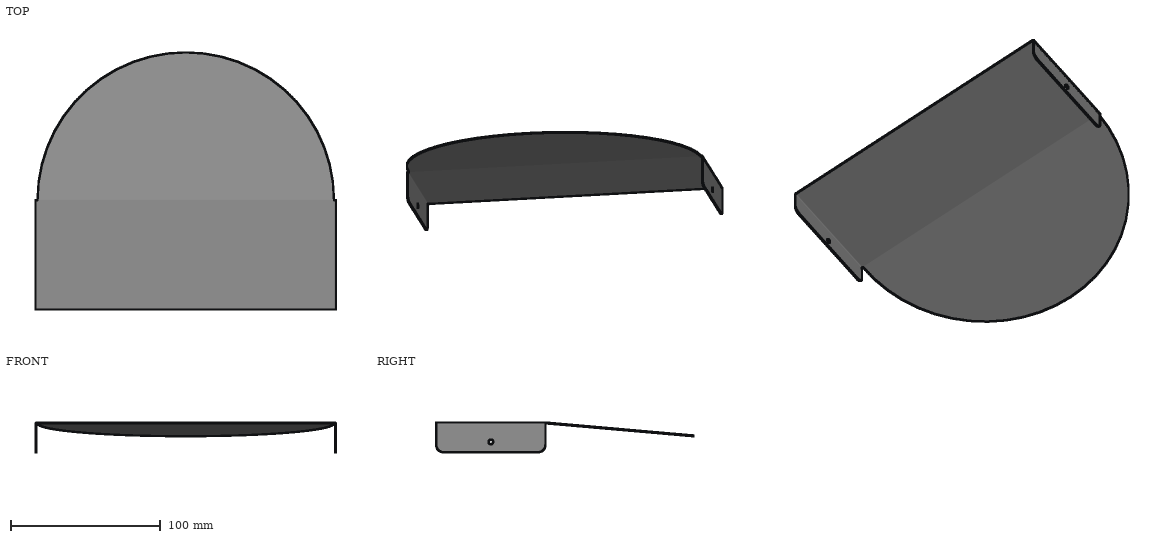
import cadquery as cq
import math

sheet = 0.7
inner_bend_radius = sheet
outer_bend_radius = inner_bend_radius + sheet
neutral_factor = 0.4
neutral_bend_radius = inner_bend_radius + neutral_factor * sheet

plate_width = 198.0
plate_depth = 73.0
height = 20.0
overall_width = plate_width + 2 * outer_bend_radius
flange_corner_radius = 5.0

hole_diameter = 3.0
hole_height = 7.0

flap_radius = plate_width / 2
flap_angle = 5.0
bend_length = neutral_bend_radius * math.radians(flap_angle)
bend_half_width = math.sqrt(flap_radius**2 - bend_length**2)


def make_channel():
    """Upside-down U channel with rounded bends and rounded lower flange corners."""
    outer = (
        cq.Workplane("XY")
        .box(overall_width, plate_depth, height, centered=(True, False, False))
        .edges("|Y and >Z")
        .fillet(outer_bend_radius)
        .edges("|X and <Z")
        .fillet(flange_corner_radius)
    )
    inner = (
        cq.Workplane("XY")
        .box(overall_width - 2 * sheet, plate_depth, height - sheet, centered=(True, False, False))
        .edges("|Y and >Z")
        .fillet(inner_bend_radius)
    )
    return outer.cut(inner)


def make_flange_holes():
    """Cylinder along X that crosses both flanges midway along their length."""
    return (
        cq.Workplane("YZ")
        .center(plate_depth / 2, hole_height)
        .circle(hole_diameter / 2)
        .extrude(overall_width / 2, both=True)
    )


def make_flap():
    """Narrow bend strip along the plate's rear edge, followed by the rest of the half disc."""
    axis_height = height - outer_bend_radius
    axis_start = (0, plate_depth, axis_height)
    axis_end = (-1, plate_depth, axis_height)
    bend_strip = (
        cq.Workplane("XZ", origin=axis_start)
        .moveTo(-bend_half_width, inner_bend_radius)
        .lineTo(bend_half_width, inner_bend_radius)
        .lineTo(bend_half_width, outer_bend_radius)
        .lineTo(-bend_half_width, outer_bend_radius)
        .close()
        .revolve(flap_angle, (0, 0), (-1, 0))
    )
    flat_part = (
        cq.Workplane("XY", origin=(0, plate_depth, height - sheet))
        .moveTo(-bend_half_width, 0)
        .threePointArc((0, flap_radius - bend_length), (bend_half_width, 0))
        .close()
        .extrude(sheet)
        .rotate(axis_start, axis_end, flap_angle)
    )
    return bend_strip.union(flat_part)


result = make_channel().cut(make_flange_holes()).union(make_flap())